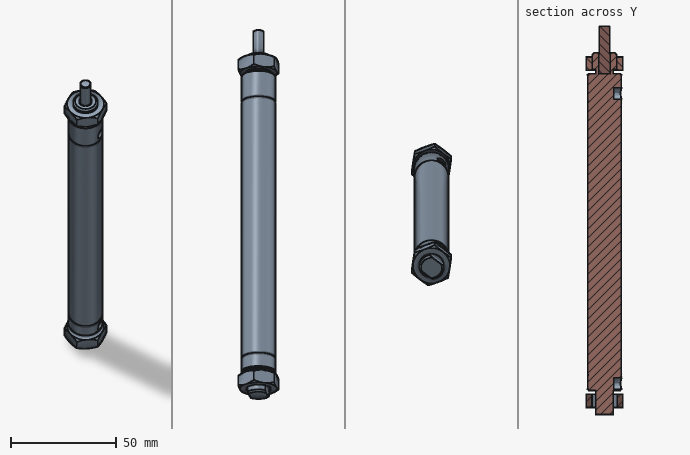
import cadquery as cq
import math

total_length = 184.2
body_bottom = 11.5
body_top = 161.7
front_stud_top = 171.6

body_radius = 8.1
body_chamfer = 0.5
rear_crimp_height = 18.8
front_crimp_height = 148.5
crimp_width = 1.3
crimp_depth = 0.2

stud_radius = 5.9
stud_chamfer = 1.0
neck_radius = 4.2
neck_length = 1.8
flat_distance = 8.5

port_radius = 2.5
port_depth = 3.7
rear_port_height = 14.7
front_port_height = 152.3

rod_radius = 2.5
rod_chamfer = 0.4
rod_bottom = body_top

recess_radius = 3.0
recess_depth = 0.5

nut_across_flats = 17.5
nut_corner_radius = nut_across_flats / 2 / math.cos(math.pi / 6)
nut_height = 6.5
bevel_rise = 1.0
rear_nut_bottom = 3.3
front_nut_bottom = 163.2


def turn(points):
    """Revolve a closed (radius, height) outline about Z."""
    return cq.Workplane("XZ").polyline(points).close().revolve(360, (0, 0), (0, 1))


def cylinder(radius, bottom, top):
    return cq.Workplane("XY", origin=(0, 0, bottom)).circle(radius).extrude(top - bottom)


def make_turned_body():
    """Barrel with a stud at each end, chamfered at its tip; the front stud stands on a thinner neck."""
    neck_top = body_top + neck_length
    return turn([
        (0, 0),
        (stud_radius - stud_chamfer, 0),
        (stud_radius, stud_chamfer),
        (stud_radius, body_bottom),
        (body_radius - body_chamfer, body_bottom),
        (body_radius, body_bottom + body_chamfer),
        (body_radius, body_top - body_chamfer),
        (body_radius - body_chamfer, body_top),
        (neck_radius, body_top),
        (neck_radius, neck_top),
        (stud_radius, neck_top),
        (stud_radius, front_stud_top - stud_chamfer),
        (stud_radius - stud_chamfer, front_stud_top),
        (0, front_stud_top),
    ])


def make_crimp_groove(height):
    """V-shaped ring that cuts a crimp line around the barrel."""
    return turn([
        (body_radius, height - crimp_width / 2),
        (body_radius - crimp_depth, height),
        (body_radius, height + crimp_width / 2),
    ])


def make_flat_cutter():
    """Material to cut from the rear stud outside its two flats, on the +X and -X sides."""
    surround = cylinder(body_radius, 0, body_bottom)
    core = cq.Workplane("XY").rect(flat_distance, 2 * body_radius).extrude(body_bottom)
    return surround.cut(core)


def make_port(height):
    floor = cq.Workplane("YZ", origin=(body_radius - port_depth, 0, height))
    return floor.circle(port_radius).extrude(port_depth)


def make_body():
    body = make_turned_body()
    for height in (rear_crimp_height, front_crimp_height):
        body = body.cut(make_crimp_groove(height))
    body = body.cut(make_flat_cutter())
    for height in (rear_port_height, front_port_height):
        body = body.cut(make_port(height))
    rod_bore = cylinder(rod_radius, rod_bottom, front_stud_top)
    rod_recess = cylinder(recess_radius, front_stud_top - recess_depth, front_stud_top)
    return body.cut(rod_bore).cut(rod_recess)


def make_rod():
    rod = cylinder(rod_radius, rod_bottom, total_length)
    return rod.faces(">Z").chamfer(rod_chamfer)


def make_nut(bottom):
    """Hexagon nut with corners along Y, bevelled top and bottom, bored to fit the stud."""
    hexagon = cq.Workplane("XY").polygon(6, 2 * nut_corner_radius).extrude(nut_height)
    hexagon = hexagon.rotate((0, 0, 0), (0, 0, 1), 90)
    bevel_radius = nut_across_flats / 2
    bevel_envelope = turn([
        (0, 0),
        (bevel_radius, 0),
        (nut_corner_radius, bevel_rise),
        (nut_corner_radius, nut_height - bevel_rise),
        (bevel_radius, nut_height),
        (0, nut_height),
    ])
    bore = cylinder(stud_radius, 0, nut_height)
    return hexagon.intersect(bevel_envelope).cut(bore).translate((0, 0, bottom))


body = make_body()
rod = make_rod()
nuts = [make_nut(bottom) for bottom in (rear_nut_bottom, front_nut_bottom)]

result = cq.Compound.makeCompound([
    body.val(),
    rod.val(),
    *[nut.val() for nut in nuts],
])